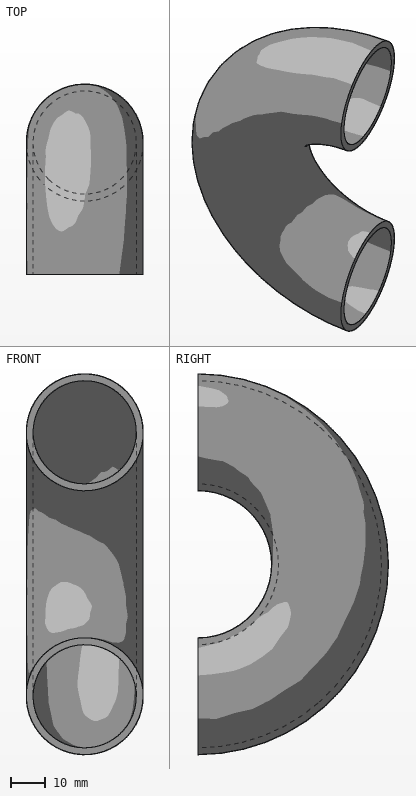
import cadquery as cq

outer_diameter = 33.7
wall_thickness = 2.0
bend_radius = 38.0
bend_angle = 180.0

inner_diameter = outer_diameter - 2 * wall_thickness


def return_bend():
    """Sweep the tube's ring section half a turn about the X axis, bulging toward +Y."""
    ring = (
        cq.Workplane("XZ")
        .center(0, -bend_radius)
        .circle(outer_diameter / 2)
        .circle(inner_diameter / 2)
    )
    axis_start = (0, bend_radius)
    axis_end = (1, bend_radius)
    return ring.revolve(bend_angle, axis_start, axis_end)


result = return_bend()